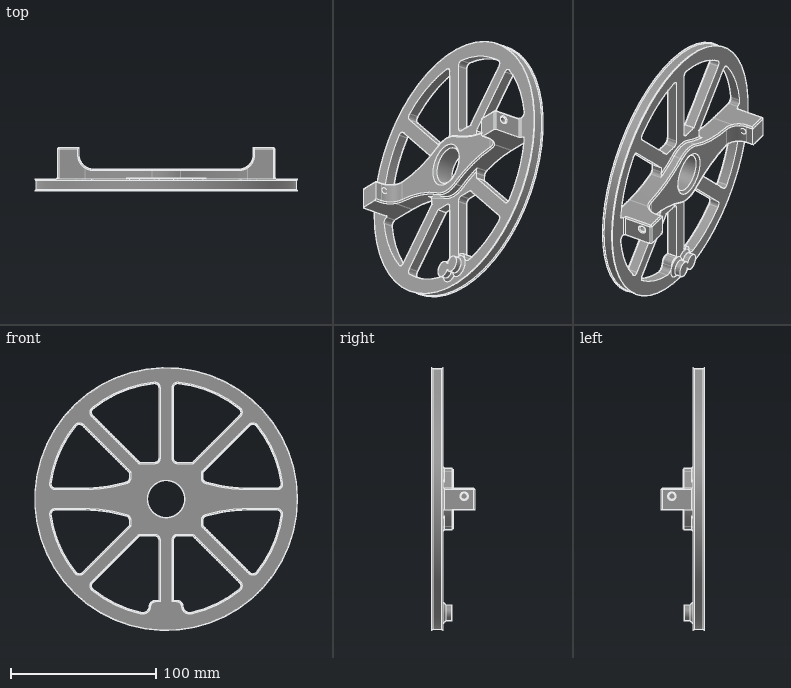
import cadquery as cq
import math

disc_thickness = 8.0
disc_radius = 90.0
lip_width = 1.0
lip_angle = math.radians(30)
lip_height = lip_width * math.tan(lip_angle)

window_radius = 80.0
spoke_half_width = 5.0
hub_half_size = 25.3
corner_radius = 3.0
front_chamfer = 1.0

pad_half_width = 11.7
pad_top = -69.75
pad_radius = 4.5

bore_radius = 12.75
bore_chamfer = 2.0
hub_wall = 8.5
hub_radius = bore_radius + hub_wall
arm_half_width = 7.5
arm_blend_radius = 100.0
arm_back = 15.0
block_back = 30.0
block_outer_x = 75.0
block_inner_x = 60.0
block_root_radius = 10.0
carrier_chamfer = 1.0
carrier_base_height = 1.0
carrier_base_slope = 45

block_hole_radius = 2.2
block_hole_chamfer = 0.7
block_hole_y = 22.5
block_hole_z = 2.0

pin_radius = 5.5
pin_back = 14.0
pin_root = 2.0
pin_x = 5.0
pin_z = -78.4

blend_z = arm_half_width + arm_blend_radius
blend_x = math.sqrt((hub_radius + arm_blend_radius) ** 2 - blend_z**2)
tangent_x = blend_x * hub_radius / (hub_radius + arm_blend_radius)
tangent_z = blend_z * hub_radius / (hub_radius + arm_blend_radius)

diagonal_offset = spoke_half_width * math.sqrt(2)
carrier_base_back = disc_thickness + carrier_base_height

diagonal_angle = math.radians(45)
diagonal_swing = math.asin(spoke_half_width / window_radius)


def plane_at(y):
    """Plane at depth y whose normal points to the back (+Y); local x is X, local y is -Z."""
    return cq.Workplane(cq.Plane(origin=(0, y, 0), xDir=(1, 0, 0), normal=(0, 1, 0)))


def blend_arc_z(x):
    """Height of the arm's upper side at x, on the blending arc."""
    return blend_z - math.sqrt(arm_blend_radius**2 - (x - blend_x) ** 2)


def circle_point(radius, angle):
    """Point on a circle about the wheel's axis, as (x, z)."""
    return (radius * math.cos(angle), radius * math.sin(angle))


def revolve_about_y(profile):
    """Turn a closed (radius, y) profile about the Y axis."""
    full_turn = 360
    return cq.Workplane("XY").polyline(profile).close().revolve(full_turn, (0, 0, 0), (0, 1, 0))


def round_corners(body, corners, radius):
    """Fillet the edges along Y that pass through the given (x, z) corners."""
    reach = 0.1
    far = carrier_base_back
    for x, z in corners:
        box = cq.selectors.BoxSelector((x - reach, -far, z - reach), (x + reach, far, z + reach))
        body = body.edges("|Y").edges(box).fillet(radius)
    return body


def make_disc():
    """Disc with a shallow rim channel between two pointed lips."""
    lip_radius = disc_radius + lip_height
    profile = [
        (0, 0),
        (lip_radius, 0),
        (disc_radius, lip_width),
        (disc_radius, disc_thickness - lip_width),
        (lip_radius, disc_thickness),
        (0, disc_thickness),
    ]
    return revolve_about_y(profile)


def extrude_window(outline):
    """Extrude an outline drawn in X and Z through the disc and the carrier's base."""
    return outline.close().extrude(-carrier_base_back)


def side_window():
    """Window between the arm and the diagonal spoke, in the +X +Z quarter."""
    rim_arm = (math.sqrt(window_radius**2 - arm_half_width**2), arm_half_width)
    arm_angle = math.asin(arm_half_width / window_radius)
    spoke_angle = diagonal_angle - diagonal_swing
    rim_spoke = circle_point(window_radius, spoke_angle)
    rim_middle = circle_point(window_radius, (arm_angle + spoke_angle) / 2)
    hub_arm = (hub_half_size, blend_arc_z(hub_half_size))
    arc_middle_x = (hub_half_size + blend_x) / 2
    outline = (
        cq.Workplane("XZ")
        .moveTo(*rim_arm)
        .threePointArc(rim_middle, rim_spoke)
        .lineTo(hub_half_size, hub_half_size - diagonal_offset)
        .lineTo(*hub_arm)
        .threePointArc((arc_middle_x, blend_arc_z(arc_middle_x)), (blend_x, arm_half_width))
    )
    return round_corners(extrude_window(outline), [rim_arm, rim_spoke, hub_arm], corner_radius)


def upper_window():
    """Window between the diagonal and the vertical spoke, in the +X +Z quarter."""
    start_angle = diagonal_angle + diagonal_swing
    end_angle = math.acos(spoke_half_width / window_radius)
    rim_diagonal = circle_point(window_radius, start_angle)
    rim_middle = circle_point(window_radius, (start_angle + end_angle) / 2)
    rim_vertical = circle_point(window_radius, end_angle)
    hub_vertical = (spoke_half_width, hub_half_size)
    outline = (
        cq.Workplane("XZ")
        .moveTo(*rim_diagonal)
        .threePointArc(rim_middle, rim_vertical)
        .lineTo(*hub_vertical)
        .lineTo(hub_half_size - diagonal_offset, hub_half_size)
    )
    return round_corners(extrude_window(outline), [rim_diagonal, rim_vertical, hub_vertical], corner_radius)


def lower_window():
    """Window like the upper one, in the +X -Z quarter, stepped around the pad."""
    start_angle = -diagonal_angle - diagonal_swing
    end_angle = -math.acos(pad_half_width / window_radius)
    rim_diagonal = circle_point(window_radius, start_angle)
    rim_middle = circle_point(window_radius, (start_angle + end_angle) / 2)
    rim_pad = circle_point(window_radius, end_angle)
    pad_corner = (pad_half_width, pad_top)
    hub_vertical = (spoke_half_width, -hub_half_size)
    outline = (
        cq.Workplane("XZ")
        .moveTo(*rim_diagonal)
        .threePointArc(rim_middle, rim_pad)
        .lineTo(*pad_corner)
        .lineTo(spoke_half_width, pad_top)
        .lineTo(*hub_vertical)
        .lineTo(hub_half_size - diagonal_offset, -hub_half_size)
    )
    window = round_corners(extrude_window(outline), [rim_diagonal, hub_vertical], corner_radius)
    return round_corners(window, [rim_pad, pad_corner], pad_radius)


def carrier_outline(plane):
    """Hub and arms seen along Y: two straight arms blended into the hub circle."""
    mid_x = (tangent_x + blend_x) / 2
    mid_z = blend_arc_z(mid_x)
    return (
        plane.moveTo(block_outer_x, -arm_half_width)
        .lineTo(block_outer_x, arm_half_width)
        .lineTo(blend_x, arm_half_width)
        .threePointArc((mid_x, mid_z), (tangent_x, tangent_z))
        .threePointArc((0, hub_radius), (-tangent_x, tangent_z))
        .threePointArc((-mid_x, mid_z), (-blend_x, arm_half_width))
        .lineTo(-block_outer_x, arm_half_width)
        .lineTo(-block_outer_x, -arm_half_width)
        .lineTo(-blend_x, -arm_half_width)
        .threePointArc((-mid_x, -mid_z), (-tangent_x, -tangent_z))
        .threePointArc((0, -hub_radius), (tangent_x, -tangent_z))
        .threePointArc((mid_x, -mid_z), (blend_x, -arm_half_width))
        .close()
    )


def carrier_side_profile():
    """Carrier seen along Z: low arms rising through a rounded root into the end blocks."""
    root_x = block_inner_x - block_root_radius
    root_y = arm_back + block_root_radius
    sag = block_root_radius * math.sqrt(0.5)
    return (
        cq.Workplane("XY", origin=(0, 0, -hub_radius))
        .moveTo(-block_outer_x, carrier_base_back)
        .lineTo(block_outer_x, carrier_base_back)
        .lineTo(block_outer_x, block_back - carrier_chamfer)
        .lineTo(block_outer_x - carrier_chamfer, block_back)
        .lineTo(block_inner_x, block_back)
        .lineTo(block_inner_x, root_y)
        .threePointArc((root_x + sag, root_y - sag), (root_x, arm_back))
        .lineTo(-root_x, arm_back)
        .threePointArc((-root_x - sag, root_y - sag), (-block_inner_x, root_y))
        .lineTo(-block_inner_x, block_back)
        .lineTo(carrier_chamfer - block_outer_x, block_back)
        .lineTo(-block_outer_x, block_back - carrier_chamfer)
        .close()
        .extrude(2 * hub_radius)
    )


def is_chamfered(edge):
    """True for the carrier's whole +Z outline and for the -Z outline of its low part."""
    tolerance = 0.01
    box = edge.BoundingBox()
    crosses_part = box.zmin < 0 < box.zmax
    on_base = box.ymax < carrier_base_back + tolerance
    along_y = box.xlen < tolerance and box.zlen < tolerance
    is_side_seam = along_y and abs(edge.Center().x) < block_inner_x - tolerance
    if crosses_part or on_base or is_side_seam:
        return False
    return box.zmin > 0 or box.ymax < arm_back + tolerance


def make_carrier():
    """Hub, arms and end blocks with chamfered edges, standing on the sloped base."""
    upper = carrier_outline(cq.Workplane("XZ")).extrude(-block_back)
    upper = upper.intersect(carrier_side_profile())
    edges = [edge for edge in upper.edges().vals() if is_chamfered(edge)]
    return upper.newObject(edges).chamfer(carrier_chamfer)


def make_carrier_base():
    """Skirt that slopes outward where the carrier meets the disc."""
    skirt = carrier_outline(plane_at(disc_thickness)).offset2D(carrier_base_height)
    return skirt.extrude(carrier_base_height, taper=carrier_base_slope)


def make_pin():
    """Round pin on a conical root."""
    root_radius = pin_radius + pin_root
    profile = [
        (0, disc_thickness),
        (root_radius, disc_thickness),
        (pin_radius, disc_thickness + pin_root),
        (pin_radius, pin_back),
        (0, pin_back),
    ]
    return revolve_about_y(profile).translate((pin_x, 0, pin_z))


def make_block_hole():
    """Countersunk hole through the block at +X."""
    depth = block_outer_x - block_inner_x
    start = cq.Workplane("YZ", origin=(block_inner_x, block_hole_y, block_hole_z))
    hole = start.circle(block_hole_radius).extrude(depth)
    mouth = cq.Solid.makeCone(
        block_hole_radius,
        block_hole_radius + block_hole_chamfer,
        block_hole_chamfer,
        pnt=cq.Vector(block_outer_x - block_hole_chamfer, block_hole_y, block_hole_z),
        dir=cq.Vector(1, 0, 0),
    )
    return hole.union(cq.Workplane(obj=mouth))


def add_mirrored(body, plane):
    """Join a body with its mirror image in the given plane."""
    return body.union(body.mirror(plane))


def make_wheel():
    """Disc with its carrier base and windows; the windows are chamfered on the front face."""
    wheel = make_disc().union(make_carrier_base())
    side_windows = add_mirrored(add_mirrored(side_window(), "XY"), "YZ")
    upper_windows = add_mirrored(upper_window(), "YZ")
    lower_windows = add_mirrored(lower_window(), "YZ")
    for windows in (side_windows, upper_windows, lower_windows):
        wheel = wheel.cut(windows)
    front = wheel.faces("<Y").val()
    edges = [edge for wire in front.innerWires() for edge in wire.Edges()]
    return wheel.newObject(edges).chamfer(front_chamfer)


def make_bore():
    """Through bore, chamfered at the back of the hub."""
    bore = cq.Workplane("XZ").circle(bore_radius).extrude(-arm_back)
    mouth = cq.Solid.makeCone(
        bore_radius,
        bore_radius + bore_chamfer,
        bore_chamfer,
        pnt=cq.Vector(0, arm_back - bore_chamfer, 0),
        dir=cq.Vector(0, 1, 0),
    )
    return bore.union(cq.Workplane(obj=mouth))


pins = add_mirrored(make_pin(), "YZ")
block_holes = add_mirrored(make_block_hole(), "YZ")

result = make_wheel().union(make_carrier()).union(pins).cut(make_bore()).cut(block_holes)